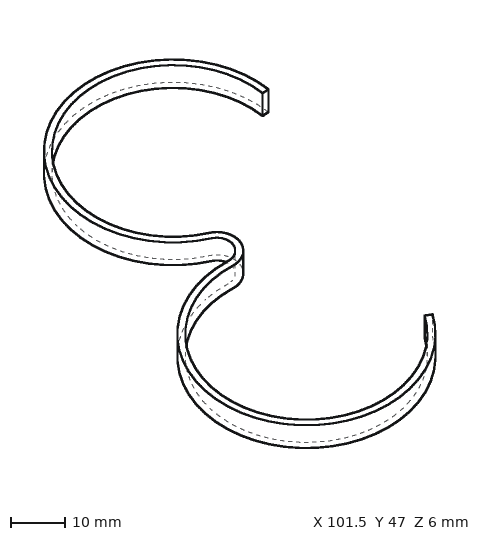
import cadquery as cq
import math

strip_thickness = 1.5
strip_height = 6.0

full_turn = 360.0

ring_outer_radius = 23.89
ring_inner_radius = ring_outer_radius - strip_thickness
overall_length = 101.5
ring_center_x = overall_length / 2 - ring_outer_radius
ring_end_angle = 105.0

tangent_angle = -10.0
center_distance = ring_center_x / math.cos(math.radians(tangent_angle))
bridge_center_y = center_distance * math.sin(math.radians(tangent_angle))
bridge_inner_radius = center_distance - ring_outer_radius
bridge_outer_radius = bridge_inner_radius + strip_thickness


def ring_point(side, radius, angle):
    """Point on a ring; angle 0 faces the other ring, side is -1 (left) or 1 (right)."""
    direction = math.radians(angle)
    return (side * (ring_center_x - radius * math.cos(direction)), radius * math.sin(direction))


def make_strip():
    """Extrude the closed outline of the strip: outer rings, bridge and inner rings."""
    middle_angle = (ring_end_angle + tangent_angle + full_turn) / 2
    left, right = -1, 1

    def outer(side, angle):
        return ring_point(side, ring_outer_radius, angle)

    def inner(side, angle):
        return ring_point(side, ring_inner_radius, angle)

    outline = (
        cq.Workplane("XY")
        .moveTo(*outer(left, ring_end_angle))
        .threePointArc(outer(left, middle_angle), outer(left, tangent_angle))
        .threePointArc((0, bridge_center_y + bridge_inner_radius), outer(right, tangent_angle))
        .threePointArc(outer(right, middle_angle), outer(right, ring_end_angle))
        .lineTo(*inner(right, ring_end_angle))
        .threePointArc(inner(right, middle_angle), inner(right, tangent_angle))
        .threePointArc((0, bridge_center_y + bridge_outer_radius), inner(left, tangent_angle))
        .threePointArc(inner(left, middle_angle), inner(left, ring_end_angle))
        .close()
    )
    return outline.extrude(strip_height)


result = make_strip()